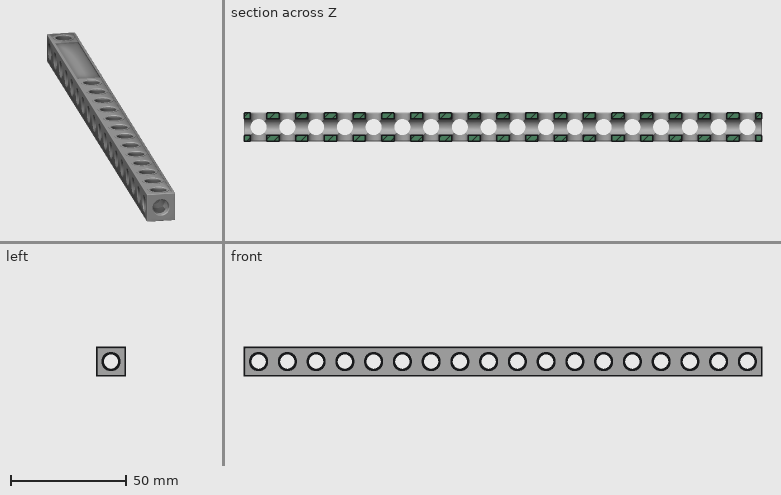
import cadquery as cq

length = 225.0
cell_count = 18
pitch = length / cell_count
width = pitch
half_width = width / 2
edge_radius = 0.3

hole_diameter = 7.0
hole_radius = hole_diameter / 2
mouth_chamfer = 0.32

rim_width = 1.1
recess_width = width - 2 * rim_width
recess_length = length - 2 * rim_width
recess_depth = 0.2
ring_diameter = 9.2

first_label_cell = 1
label_cell_count = 4
label_depth = 0.8
label_length = label_cell_count * pitch
label_center = (first_label_cell + label_cell_count / 2) * pitch

cell_centers = [(cell + 0.5) * pitch for cell in range(cell_count)]
label_cells = range(first_label_cell, first_label_cell + label_cell_count)
open_centers = [x for cell, x in enumerate(cell_centers) if cell not in label_cells]
closed_centers = [cell_centers[cell] for cell in label_cells]


def hole_from(mouth, direction, depth):
    """Round hole that starts at the mouth point with a chamfer and runs straight inward."""
    start = cq.Vector(*mouth)
    inward = cq.Vector(*direction)
    bore = cq.Solid.makeCylinder(hole_radius, depth, start, inward)
    chamfer = cq.Solid.makeCone(hole_radius + mouth_chamfer, hole_radius, mouth_chamfer, start, inward)
    return cq.Workplane(obj=bore).union(cq.Workplane(obj=chamfer))


def top_pocket(center_x, size_x, depth):
    """Rectangular pocket sunk into the top face between the two long rims."""
    return (
        cq.Workplane("XY", origin=(center_x, 0, half_width))
        .rect(size_x, recess_width)
        .extrude(-depth)
    )


def make_beam():
    beam = cq.Workplane("XY").box(length, width, width, centered=(False, True, True))
    return beam.edges().fillet(edge_radius)


def cut_top_recess(body):
    rings = (
        cq.Workplane("XY", origin=(0, 0, half_width))
        .pushPoints([(x, 0) for x in open_centers])
        .circle(ring_diameter / 2)
        .extrude(-recess_depth)
    )
    recess = top_pocket(length / 2, recess_length, recess_depth).cut(rings)
    label_panel = top_pocket(label_center, label_length, label_depth)
    return body.cut(recess).cut(label_panel)


def cut_lengthwise_hole(body):
    body = body.cut(hole_from((0, 0, 0), (1, 0, 0), length / 2))
    return body.cut(hole_from((length, 0, 0), (-1, 0, 0), length / 2))


def cut_cross_holes(body):
    for x in cell_centers:
        body = body.cut(hole_from((x, -half_width, 0), (0, 1, 0), half_width))
        body = body.cut(hole_from((x, half_width, 0), (0, -1, 0), half_width))
    return body


def cut_vertical_holes(body):
    for x in open_centers:
        body = body.cut(hole_from((x, 0, half_width), (0, 0, -1), half_width))
    for x in open_centers + closed_centers:
        body = body.cut(hole_from((x, 0, -half_width), (0, 0, 1), half_width))
    return body


result = make_beam()
result = cut_top_recess(result)
result = cut_lengthwise_hole(result)
result = cut_cross_holes(result)
result = cut_vertical_holes(result)